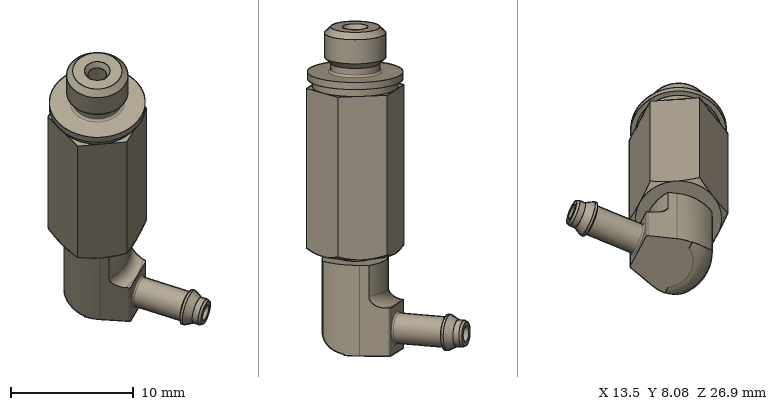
import cadquery as cq
import math

height = 26.9
elbow_top = 7.59
hex_bottom = 8.23
hex_top = 21.9
washer_bottom = 22.57
washer_top = 23.15
neck_top = 23.9

thread_dia = 5.0
neck_dia = 4.0
neck_fillet = 0.2
washer_dia = 7.8
hex_flats = 7.0
hex_corners = hex_flats / math.cos(math.pi / 6)
hex_chamfer_height = 0.32
stem_dia = 2.5
stem_fillet = hex_bottom - elbow_top

barrel_half_width = 2.6
barrel_radius = 4.04
barrel_offset = barrel_radius - barrel_half_width
flank_start_x = 1.278
port_face_x = 3.63
port_edge_fillet = 0.15
heel_fillet = 1.55
ledge_height = 4.04
ledge_fillet = 0.97

barb_axis_z = ledge_height / 2
tube_dia = 2.5
tube_root_fillet = 0.13
crest_dia = 2.95
tip_dia = 2.2
tip_chamfer = 0.1
tip_chamfer_length = 0.22
crest_rise_x = 7.85
crest_start_x = 7.95
crest_end_x = 8.18
cone_end_x = 8.88
tip_x = 9.6

main_bore_dia = 1.5
mouth_dia = 2.07
mouth_depth = 0.45
barb_bore_dia = 1.3


def threaded_end():
    """Washer, collar, undercut neck and chamfered thread on the Z axis."""
    collar_r = hex_flats / 2
    washer_r = washer_dia / 2
    neck_r = neck_dia / 2
    thread_r = thread_dia / 2
    chamfer = thread_r - neck_r
    bend = neck_fillet * (1 - math.sqrt(0.5))
    return (
        cq.Workplane("XZ")
        .moveTo(0, hex_top)
        .lineTo(collar_r, hex_top)
        .lineTo(collar_r, washer_bottom)
        .lineTo(washer_r, washer_bottom)
        .lineTo(washer_r, washer_top)
        .lineTo(neck_r + neck_fillet, washer_top)
        .threePointArc((neck_r + bend, washer_top + bend), (neck_r, washer_top + neck_fillet))
        .lineTo(neck_r, neck_top)
        .lineTo(thread_r, neck_top + chamfer)
        .lineTo(thread_r, height - chamfer)
        .lineTo(neck_r, height)
        .lineTo(0, height)
        .close()
        .revolve(360, (0, 0), (0, 1))
    )


def hexagon():
    """Hexagonal body with corners on Y and a conical chamfer at its lower end."""
    prism = (
        cq.Workplane("XY", origin=(0, 0, hex_bottom))
        .polygon(6, hex_corners)
        .extrude(hex_top - hex_bottom)
        .rotate((0, 0, 0), (0, 0, 1), 30)
    )
    flat_r = hex_flats / 2
    corner_r = hex_corners / 2
    slope = hex_chamfer_height / (corner_r - flat_r)
    outer_r = washer_dia
    envelope = (
        cq.Workplane("XZ")
        .moveTo(0, hex_bottom)
        .lineTo(flat_r, hex_bottom)
        .lineTo(outer_r, hex_bottom + slope * (outer_r - flat_r))
        .lineTo(outer_r, hex_top)
        .lineTo(0, hex_top)
        .close()
        .revolve(360, (0, 0), (0, 1))
    )
    return prism.intersect(envelope)


def stem():
    """Short neck that flares from the elbow into the hexagon over its full height."""
    r = stem_dia / 2
    bend = stem_fillet * (1 - math.sqrt(0.5))
    return (
        cq.Workplane("XZ")
        .moveTo(0, elbow_top)
        .lineTo(r, elbow_top)
        .threePointArc((r + bend, hex_bottom - bend), (r + stem_fillet, hex_bottom))
        .lineTo(0, hex_bottom)
        .close()
        .revolve(360, (0, 0), (0, 1))
    )


def elbow():
    """Barrel-sided block with a rounded heel and a ledge over the port."""
    corner = (math.sqrt(2 * barrel_radius**2 - barrel_offset**2) - barrel_offset) / 2
    flank_rise = math.sqrt(barrel_radius**2 - flank_start_x**2)
    flank_y = flank_rise - barrel_offset
    port_y = flank_y - (port_face_x - flank_start_x) * flank_start_x / flank_rise
    block = (
        cq.Workplane("XY")
        .moveTo(-corner, -corner)
        .threePointArc((0, -barrel_half_width), (flank_start_x, -flank_y))
        .lineTo(port_face_x, -port_y)
        .lineTo(port_face_x, port_y)
        .lineTo(flank_start_x, flank_y)
        .threePointArc((0, barrel_half_width), (-corner, corner))
        .threePointArc((-barrel_half_width, 0), (-corner, -corner))
        .close()
        .extrude(elbow_top)
        .edges("|Z and >X")
        .fillet(port_edge_fillet)
    )
    heel_envelope = (
        cq.Workplane("XY", origin=(barrel_offset, 0, 0))
        .circle(barrel_radius)
        .extrude(elbow_top)
        .faces("<Z")
        .edges()
        .fillet(heel_fillet)
    )
    heel_side = cq.Workplane("XY").box(
        2 * barrel_radius, 2 * barrel_radius, elbow_top, centered=(False, True, False)
    ).translate((-2 * barrel_radius, 0, 0))
    block = block.cut(heel_side.cut(heel_envelope))

    bend = ledge_fillet * (1 - math.sqrt(0.5))
    outer_r = 2 * barrel_radius
    ring = (
        cq.Workplane("XZ", origin=(-barrel_offset, 0, 0))
        .moveTo(barrel_radius, elbow_top)
        .lineTo(barrel_radius, ledge_height + ledge_fillet)
        .threePointArc(
            (barrel_radius + bend, ledge_height + bend),
            (barrel_radius + ledge_fillet, ledge_height),
        )
        .lineTo(outer_r, ledge_height)
        .lineTo(outer_r, elbow_top)
        .close()
        .revolve(360, (0, 0), (0, 1))
    )
    return block.cut(ring)


def barb():
    """Hose barb turned about a horizontal axis, rooted inside the elbow."""
    tube_r = tube_dia / 2
    crest_r = crest_dia / 2
    tip_r = tip_dia / 2
    bend = tube_root_fillet * (1 - math.sqrt(0.5))
    return (
        cq.Workplane("XZ", origin=(0, 0, barb_axis_z))
        .lineTo(0, tube_r)
        .lineTo(port_face_x, tube_r)
        .lineTo(port_face_x, tube_r + tube_root_fillet)
        .threePointArc((port_face_x + bend, tube_r + bend), (port_face_x + tube_root_fillet, tube_r))
        .lineTo(crest_rise_x, tube_r)
        .lineTo(crest_start_x, crest_r)
        .lineTo(crest_end_x, crest_r)
        .lineTo(cone_end_x, tip_r)
        .lineTo(tip_x - tip_chamfer_length, tip_r)
        .lineTo(tip_x, tip_r - tip_chamfer)
        .lineTo(tip_x, 0)
        .close()
        .revolve(360, (0, 0), (1, 0))
    )


def passage():
    """Countersunk vertical bore that turns into the barb bore."""
    bore_r = main_bore_dia / 2
    vertical = (
        cq.Workplane("XZ")
        .moveTo(0, barb_axis_z - barb_bore_dia / 2)
        .lineTo(bore_r, barb_axis_z - barb_bore_dia / 2)
        .lineTo(bore_r, height - mouth_depth)
        .lineTo(mouth_dia / 2, height)
        .lineTo(0, height)
        .close()
        .revolve(360, (0, 0), (0, 1))
    )
    horizontal = cq.Workplane("YZ", origin=(0, 0, barb_axis_z)).circle(barb_bore_dia / 2).extrude(tip_x)
    return vertical.union(horizontal)


result = elbow().union(stem()).union(hexagon()).union(threaded_end()).union(barb()).cut(passage())